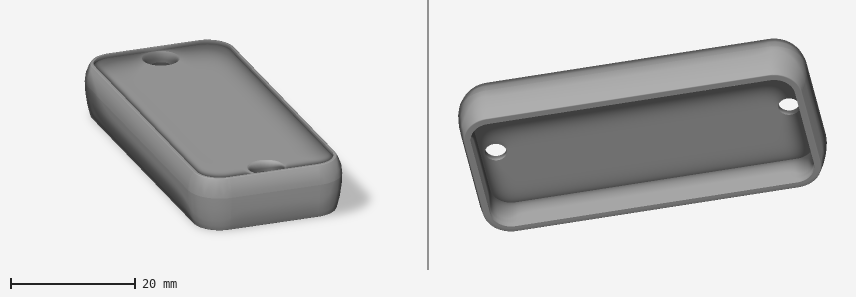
import cadquery as cq
import math

length = 57.15
width = 26.1
height = 9.0
corner_radius = 5.4
widest_level = 5.95

top_inset = 0.95
bottom_inset = 0.9
edge_rounding = 0.15

panel_inset = 1.4
panel_depth = 0.6

hole_offset = 24.05
hole_diameter = 3.5
countersink_diameter = 6.05
countersink_depth = 1.4
countersink_angle = 2 * math.degrees(
    math.atan((countersink_diameter - hole_diameter) / 2 / countersink_depth)
)

cavity_inset = 2.0
panel_thickness = 2.5
cavity_depth = height - panel_depth - panel_thickness

straight_x = length - 2 * corner_radius
straight_y = width - 2 * corner_radius


def bulge_offset(inset, rise):
    """Inward offset halfway up a wall arc that is vertical at the widest level."""
    radius = (inset**2 + rise**2) / (2 * inset)
    return radius - math.sqrt(radius**2 - (rise / 2) ** 2)


def half_section(plane, reach):
    """Closed section from the centre axis out to the bulged wall at the given reach."""
    top_rise = height - widest_level
    lower_middle = (reach - bulge_offset(bottom_inset, widest_level), widest_level / 2)
    upper_middle = (reach - bulge_offset(top_inset, top_rise), widest_level + top_rise / 2)
    return (
        cq.Workplane(plane)
        .lineTo(reach - bottom_inset, 0)
        .threePointArc(lower_middle, (reach, widest_level))
        .threePointArc(upper_middle, (reach - top_inset, height))
        .lineTo(0, height)
        .close()
    )


def make_body():
    """Rounded slab: two crossing extrusions with a revolved post at each corner."""
    half_x = half_section("XZ", length / 2).extrude(straight_y / 2, both=True)
    half_y = half_section("YZ", width / 2).extrude(straight_x / 2, both=True)
    body = half_x.union(half_x.mirror("YZ")).union(half_y).union(half_y.mirror("XZ"))
    post = half_section("XZ", corner_radius).revolve(360, (0, 0, 0), (0, 1, 0))
    for side_x in (-1, 1):
        for side_y in (-1, 1):
            body = body.union(post.translate((side_x * straight_x / 2, side_y * straight_y / 2, 0)))
    return body.clean().faces("<Z or >Z").edges().fillet(edge_rounding)


def inset_block(inset, base, depth):
    """Upright block following the plan outline at a constant inset."""
    return (
        cq.Workplane("XY", origin=(0, 0, base))
        .rect(length - 2 * inset, width - 2 * inset)
        .extrude(depth)
        .edges("|Z")
        .fillet(corner_radius - inset)
    )


panel_level = height - panel_depth
shell = (
    make_body()
    .cut(inset_block(panel_inset, panel_level, panel_depth))
    .cut(inset_block(cavity_inset, 0, cavity_depth))
)

result = (
    shell.copyWorkplane(cq.Workplane("XY", origin=(0, 0, panel_level)))
    .pushPoints([(-hole_offset, 0), (hole_offset, 0)])
    .cskHole(hole_diameter, countersink_diameter, countersink_angle)
)